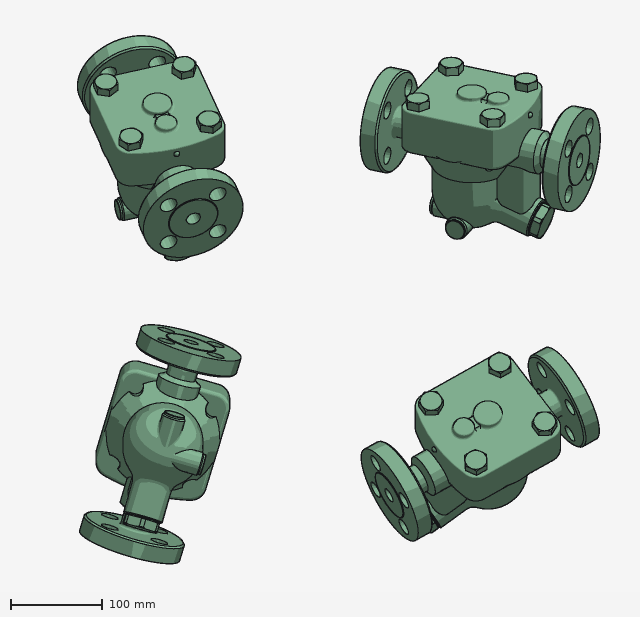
import cadquery as cq
import math


HEXAGON_SIDES = 6
HALF_SECTOR = 180.0 / HEXAGON_SIDES
HEXAGON_CORNERS_TO_FLATS = 1 / math.cos(math.radians(HALF_SECTOR))

FACE_TO_FACE = 239.0
FLANGE_DIA = 115.0
FLANGE_INNER_X = 99.0
FLANGE_CHAMFER = 2.0
RAISED_FACE_DIA = 57.0
RAISED_FACE_HEIGHT = 0.8
FLANGE_HOLE_DIA = 19.0
FLANGE_HOLE_CIRCLE = 80.0
FLANGE_HOLE_COUNT = 4
NECK_DIA = 33.0
NECK_FILLET = 2.5
BEAD_START_X = 84.2
BEAD_END_X = 91.0
BEAD_HEIGHT = 0.2
PIPE_DIA = 48.0
PIPE_CONE_X = 74.5
PIPE_CONE_LENGTH = 4.5
BORE_DIA = 16.0
BORE_BOTTOM_X = PIPE_CONE_X

BODY_X = -10.0
BODY_RADIUS = 44.0
DOME_Z = -62.5
CONE_START_Z = -32.5
CONE_MIDDLE_Z = -19.2
CONE_MIDDLE_RADIUS = 52.0
CONE_TOP_RADIUS = 64.2

BOLT_PITCH = 90.0
CORNER_RADIUS = 17.5
BLOCK_HALF = BOLT_PITCH / 2 + CORNER_RADIUS
SPLIT_Z = 29.7
COVER_TOP_Z = SPLIT_Z + 22.0
COVER_FILLET = 2.0
NOSE_X = 59.2
NOSE_BOTTOM_X = 58.0
BLOCK_FILLET = 4.0

BOLT_FLATS = 24.0
BOLT_HEAD_HEIGHT = 10.0
BOLT_CHAMFER_ANGLE = 30.0
SPOT_FACE_DIA = 18.0
SPOT_FACE_DEPTH = 25.0

BOSS_HEIGHT = 6.2
BOSS_BASE_FILLET = 3.0
BIG_BOSS_RADIUS = 16.0
BIG_BOSS_ROUND = 1.5
SMALL_BOSS_RADIUS = 12.0
SMALL_BOSS_ROUND = 2.0
SMALL_BOSS_X = 21.5
WEB_HALF_WIDTH = 7.3

NUB_RADIUS = 3.3
NUB_Z = 43.6

DRAIN_Z = DOME_Z - 30.0
DRAIN_RADIUS = 13.0
DRAIN_LENGTH = 43.5
DRAIN_CHAMFER = 1.5
DRAIN_PLUG_RADIUS = 11.5
DRAIN_PLUG_LENGTH = 46.0
DRAIN_PLUG_CHAMFER = 0.5
DRAIN_FILLET = 3.0

BRANCH_ANGLE = 15.0
BRANCH_RADIUS = 22.0
BRANCH_FILLET = 14.0
BRANCH_LENGTH = 80.7
BRANCH_CHAMFER = 1.2
WASHER_RADIUS = 19.0
CAP_START = 82.0
CAP_END = 92.3
CAP_FLATS = 38.0
CAP_DIA = 41.4
CAP_CHAMFER = 1.0

RIB_HALF_WIDTH = 20.0
RIB_END_X = 67.5
RIB_CORNER_RADIUS = 12.0


def pipe_half():
    """+X half of the pipe with neck and flange, turned about the X axis."""
    end_x = FACE_TO_FACE / 2
    flange_x = end_x - RAISED_FACE_HEIGHT
    flange_r = FLANGE_DIA / 2
    neck_r = NECK_DIA / 2
    pipe_r = PIPE_DIA / 2
    bead_middle_x = (BEAD_START_X + BEAD_END_X) / 2
    neck_arc = NECK_FILLET * (1 - math.sqrt(0.5))
    profile = (
        cq.Workplane("XY")
        .moveTo(0, 0)
        .lineTo(0, pipe_r)
        .lineTo(PIPE_CONE_X, pipe_r)
        .lineTo(PIPE_CONE_X + PIPE_CONE_LENGTH, neck_r)
        .lineTo(BEAD_START_X, neck_r)
        .threePointArc((bead_middle_x, neck_r + BEAD_HEIGHT), (BEAD_END_X, neck_r))
        .lineTo(FLANGE_INNER_X - NECK_FILLET, neck_r)
        .threePointArc(
            (FLANGE_INNER_X - neck_arc, neck_r + neck_arc),
            (FLANGE_INNER_X, neck_r + NECK_FILLET),
        )
        .lineTo(FLANGE_INNER_X, flange_r - FLANGE_CHAMFER)
        .lineTo(FLANGE_INNER_X + FLANGE_CHAMFER, flange_r)
        .lineTo(flange_x, flange_r)
        .lineTo(flange_x, RAISED_FACE_DIA / 2)
        .lineTo(end_x, RAISED_FACE_DIA / 2 - RAISED_FACE_HEIGHT)
        .lineTo(end_x, 0)
        .close()
    )
    return profile.revolve(360, (0, 0, 0), (1, 0, 0))


def pipe_holes():
    """Bolt holes of both flanges and the two blind bores."""
    flange_span = FACE_TO_FACE / 2 - FLANGE_INNER_X
    bore_depth = FACE_TO_FACE / 2 - BORE_BOTTOM_X
    half = (
        cq.Workplane("YZ", origin=(FLANGE_INNER_X, 0, 0))
        .polarArray(FLANGE_HOLE_CIRCLE / 2, 360 / FLANGE_HOLE_COUNT / 2, 360, FLANGE_HOLE_COUNT)
        .circle(FLANGE_HOLE_DIA / 2)
        .extrude(flange_span)
    )
    bore = cq.Workplane("YZ", origin=(BORE_BOTTOM_X, 0, 0)).circle(BORE_DIA / 2).extrude(bore_depth)
    half = half.union(bore)
    return half.union(half.mirror("YZ"))


def block_outline(plane, nose_x):
    """Rounded square whose +X side is one large arc, tangent to the corners."""
    half_pitch = BOLT_PITCH / 2
    left_x = BODY_X - half_pitch
    right_x = BODY_X + half_pitch
    diagonal = CORNER_RADIUS * math.sqrt(0.5)
    reach = nose_x - CORNER_RADIUS
    center_x = (reach ** 2 - right_x ** 2 - half_pitch ** 2) / (2 * (reach - right_x))
    touch = math.atan2(half_pitch, right_x - center_x)
    middle = (touch + math.pi / 2) / 2

    def right_corner(angle, side):
        x = right_x + CORNER_RADIUS * math.cos(angle)
        y = half_pitch + CORNER_RADIUS * math.sin(angle)
        return x, side * y

    return (
        plane
        .moveTo(left_x, -BLOCK_HALF)
        .lineTo(right_x, -BLOCK_HALF)
        .threePointArc(right_corner(middle, -1), right_corner(touch, -1))
        .threePointArc((nose_x, 0), right_corner(touch, 1))
        .threePointArc(right_corner(middle, 1), (right_x, BLOCK_HALF))
        .lineTo(left_x, BLOCK_HALF)
        .threePointArc((left_x - diagonal, half_pitch + diagonal), (BODY_X - BLOCK_HALF, half_pitch))
        .lineTo(BODY_X - BLOCK_HALF, -half_pitch)
        .threePointArc((left_x - diagonal, -half_pitch - diagonal), (left_x, -BLOCK_HALF))
        .close()
    )


def cover():
    slab = block_outline(cq.Workplane("XY", origin=(0, 0, SPLIT_Z)), NOSE_X)
    slab = slab.extrude(COVER_TOP_Z - SPLIT_Z)
    slab = slab.faces(">Z").edges().fillet(COVER_FILLET)
    nub = cq.Workplane("XY", origin=(NOSE_X, 0, NUB_Z)).sphere(NUB_RADIUS)
    return slab.union(nub)


def lower_block():
    """Body half of the block; its bulged side has draft towards the bottom."""
    bottom = block_outline(cq.Workplane("XY"), NOSE_BOTTOM_X)
    both = block_outline(bottom.workplane(offset=SPLIT_Z), NOSE_X)
    block = both.loft(ruled=True, combine=True)
    return block.faces("<Z").edges().fillet(BLOCK_FILLET)


def body_shell():
    """Dome, cylinder and widening cone, trimmed to the width of the block."""
    quarter = BODY_RADIUS * math.sqrt(0.5)
    profile = (
        cq.Workplane("XZ", origin=(BODY_X, 0, 0))
        .moveTo(0, DOME_Z - BODY_RADIUS)
        .threePointArc((quarter, DOME_Z - quarter), (BODY_RADIUS, DOME_Z))
        .lineTo(BODY_RADIUS, CONE_START_Z)
        .lineTo(CONE_MIDDLE_RADIUS, CONE_MIDDLE_Z)
        .lineTo(CONE_TOP_RADIUS, BLOCK_FILLET)
        .lineTo(0, BLOCK_FILLET)
        .close()
    )
    turned = profile.revolve(360, (0, 0, 0), (0, 1, 0))
    column = block_outline(cq.Workplane("XY", origin=(0, 0, DOME_Z - BODY_RADIUS)), NOSE_BOTTOM_X)
    return turned.intersect(column.extrude(BODY_RADIUS - DOME_Z + BLOCK_FILLET))


def drain(direction):
    """Round boss with a stepped plug, pointing along the given horizontal direction."""
    plane = cq.Plane(origin=(BODY_X, 0, DRAIN_Z), xDir=(0, 0, 1), normal=direction)
    outer_end = cq.selectors.DirectionMinMaxSelector(cq.Vector(*direction), True)
    boss = cq.Workplane(plane).circle(DRAIN_RADIUS).extrude(DRAIN_LENGTH)
    boss = boss.faces(outer_end).edges().chamfer(DRAIN_CHAMFER)
    plug = cq.Workplane(plane).circle(DRAIN_PLUG_RADIUS).extrude(DRAIN_PLUG_LENGTH)
    plug = plug.faces(outer_end).edges().chamfer(DRAIN_PLUG_CHAMFER)
    return boss.union(plug)


def body_with_drains():
    """Shell with both drains; only the -X drain is filleted onto the dome."""
    shell = body_shell().union(drain((-1, 0, 0)))
    dome_zone = cq.selectors.BoxSelector(
        (BODY_X - BODY_RADIUS, -BODY_RADIUS, DOME_Z - BODY_RADIUS),
        (BODY_X + BODY_RADIUS, BODY_RADIUS, DOME_Z),
    )
    shell = shell.edges(dome_zone).edges("%BSPLINE").fillet(DRAIN_FILLET)
    return shell.union(drain((0, -1, 0)))


def branch_plane(distance):
    """Plane square to the branch axis, at a distance from the dome centre."""
    angle = math.radians(BRANCH_ANGLE)
    axis = cq.Vector(math.cos(angle), 0, -math.sin(angle))
    origin = cq.Vector(BODY_X, 0, DOME_Z) + axis * distance
    return cq.Plane(origin=origin, xDir=(0, 1, 0), normal=axis)


def branch():
    """Branch tube with its concave fillet onto the dome, then washer and cap."""
    fillet_radial = BRANCH_RADIUS + BRANCH_FILLET
    fillet_center = math.sqrt((BODY_RADIUS + BRANCH_FILLET) ** 2 - fillet_radial ** 2)
    share = BODY_RADIUS / (BODY_RADIUS + BRANCH_FILLET)
    middle = (math.pi / 2 + math.atan2(fillet_radial, fillet_center)) / 2
    fillet_middle = (
        fillet_radial - BRANCH_FILLET * math.sin(middle),
        fillet_center - BRANCH_FILLET * math.cos(middle),
    )
    tube = (
        cq.Workplane(branch_plane(0))
        .transformed(rotate=(90, 0, 0))
        .lineTo(fillet_radial * share, 0)
        .lineTo(fillet_radial * share, fillet_center * share)
        .threePointArc(fillet_middle, (BRANCH_RADIUS, fillet_center))
        .lineTo(BRANCH_RADIUS, BRANCH_LENGTH - BRANCH_CHAMFER)
        .lineTo(BRANCH_RADIUS - BRANCH_CHAMFER, BRANCH_LENGTH)
        .lineTo(0, BRANCH_LENGTH)
        .close()
        .revolve(360, (0, 0, 0), (0, 1, 0))
    )
    washer = cq.Workplane(branch_plane(0)).circle(WASHER_RADIUS).extrude(CAP_START)
    return tube.union(washer).union(branch_cap())


def branch_cap():
    """Hexagon with rounded corners; two flats face +Y and -Y."""
    length = CAP_END - CAP_START
    corner_dia = CAP_FLATS * HEXAGON_CORNERS_TO_FLATS
    hexagon = (
        cq.Workplane(branch_plane(CAP_START))
        .transformed(rotate=(0, 0, 90))
        .polygon(HEXAGON_SIDES, corner_dia)
        .extrude(length)
    )
    blank = cq.Workplane(branch_plane(CAP_START)).circle(CAP_DIA / 2).extrude(length)
    far_end = cq.selectors.DirectionMinMaxSelector(branch_plane(0).zDir, True)
    return hexagon.intersect(blank.faces(far_end).edges().chamfer(CAP_CHAMFER))


def rib():
    """Upright rib from the pipe axis down to the branch axis."""
    fall = math.tan(math.radians(BRANCH_ANGLE))
    return (
        cq.Workplane("XZ")
        .moveTo(BODY_X, 0)
        .lineTo(RIB_END_X, 0)
        .lineTo(RIB_END_X, DOME_Z - (RIB_END_X - BODY_X) * fall)
        .lineTo(BODY_X, DOME_Z)
        .close()
        .extrude(RIB_HALF_WIDTH, both=True)
        .edges("|Z and >X")
        .fillet(RIB_CORNER_RADIUS)
    )


def bolt_places():
    """Bolt positions, each with a flag for a head turned by 30 degrees."""
    half_pitch = BOLT_PITCH / 2
    return [
        (BODY_X + side_x * half_pitch, side_y * half_pitch, side_x != side_y)
        for side_x in (-1, 1)
        for side_y in (-1, 1)
    ]


def bolt_head(x, y, turned):
    """Hexagon head, its corners cut by a cone that touches the flats at the top."""
    corner_radius = BOLT_FLATS / 2 * HEXAGON_CORNERS_TO_FLATS
    slope = math.tan(math.radians(BOLT_CHAMFER_ANGLE))
    cone_drop = (corner_radius - BOLT_FLATS / 2) * slope
    seat = cq.Workplane("XY", origin=(x, y, COVER_TOP_Z))
    hexagon = (
        seat
        .transformed(rotate=(0, 0, HALF_SECTOR if turned else 0))
        .polygon(HEXAGON_SIDES, 2 * corner_radius)
        .extrude(BOLT_HEAD_HEIGHT)
    )
    blank = (
        seat
        .circle(corner_radius)
        .extrude(BOLT_HEAD_HEIGHT)
        .faces(">Z")
        .edges()
        .chamfer(cone_drop, corner_radius - BOLT_FLATS / 2)
    )
    return hexagon.intersect(blank)


def spot_faces():
    """Vertical pockets below the block, under each bolt."""
    return (
        cq.Workplane("XY")
        .pushPoints([(x, y) for x, y, _ in bolt_places()])
        .circle(SPOT_FACE_DIA / 2)
        .extrude(-SPOT_FACE_DEPTH)
    )


def cover_boss(x, radius, top_round):
    """Round boss with a concave base fillet and a rounded top edge."""
    base_arc = BOSS_BASE_FILLET * (1 - math.sqrt(0.5))
    top_arc = top_round * (1 - math.sqrt(0.5))
    return (
        cq.Workplane("XZ", origin=(x, 0, COVER_TOP_Z))
        .lineTo(radius + BOSS_BASE_FILLET, 0)
        .threePointArc((radius + base_arc, base_arc), (radius, BOSS_BASE_FILLET))
        .lineTo(radius, BOSS_HEIGHT - top_round)
        .threePointArc((radius - top_arc, BOSS_HEIGHT - top_arc), (radius - top_round, BOSS_HEIGHT))
        .lineTo(0, BOSS_HEIGHT)
        .close()
        .revolve(360, (0, 0, 0), (0, 1, 0))
    )


def boss_web():
    """Low web between the two bosses, with concave sides."""
    base_arc = BOSS_BASE_FILLET * (1 - math.sqrt(0.5))
    foot = WEB_HALF_WIDTH + BOSS_BASE_FILLET
    return (
        cq.Workplane("YZ", origin=(BODY_X, 0, COVER_TOP_Z))
        .moveTo(-foot, 0)
        .lineTo(foot, 0)
        .threePointArc((WEB_HALF_WIDTH + base_arc, base_arc), (WEB_HALF_WIDTH, BOSS_BASE_FILLET))
        .lineTo(-WEB_HALF_WIDTH, BOSS_BASE_FILLET)
        .threePointArc((-WEB_HALF_WIDTH - base_arc, base_arc), (-foot, 0))
        .close()
        .extrude(SMALL_BOSS_X - BODY_X)
    )


pipe = pipe_half()
pipe = pipe.union(pipe.mirror("YZ")).cut(pipe_holes())

lower_part = body_with_drains().cut(spot_faces())
lower_part = lower_part.union(lower_block()).union(pipe)
lower_part = lower_part.union(branch()).union(rib())

upper_part = cover()
for bolt_x, bolt_y, bolt_turned in bolt_places():
    upper_part = upper_part.union(bolt_head(bolt_x, bolt_y, bolt_turned))
upper_part = upper_part.union(cover_boss(BODY_X, BIG_BOSS_RADIUS, BIG_BOSS_ROUND))
upper_part = upper_part.union(cover_boss(SMALL_BOSS_X, SMALL_BOSS_RADIUS, SMALL_BOSS_ROUND))
upper_part = upper_part.union(boss_web())

result = lower_part.union(upper_part, clean=False)